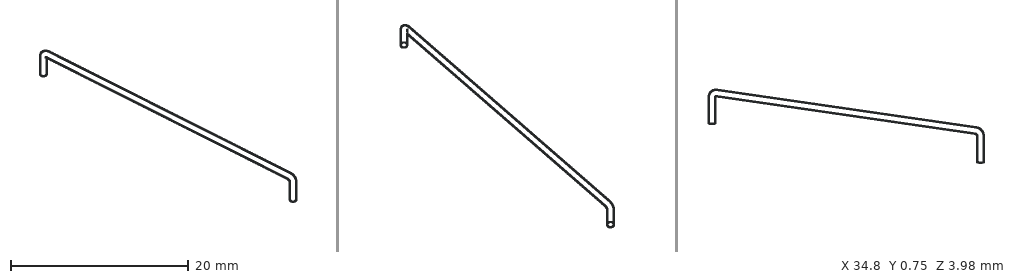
import cadquery as cq

wire_diameter = 0.75
leg_pitch = 34.0
leg_length = 3.0
bend_radius = 0.6

wire_radius = wire_diameter / 2
half_pitch = leg_pitch / 2
span_z = leg_length + bend_radius
bend_end_x = half_pitch - bend_radius


def wire_path():
    """Axis of the wire: leg up, bend, straight span, bend, leg down. Leg tips lie at Z = 0."""
    return (
        cq.Workplane("XZ")
        .moveTo(-half_pitch, 0)
        .lineTo(-half_pitch, leg_length)
        .tangentArcPoint((-bend_end_x, span_z), relative=False)
        .lineTo(bend_end_x, span_z)
        .tangentArcPoint((half_pitch, leg_length), relative=False)
        .lineTo(half_pitch, 0)
    )


def bent_wire():
    """Round wire section swept along the wire axis from the left leg tip."""
    section = cq.Workplane("XY").center(-half_pitch, 0).circle(wire_radius)
    return section.sweep(wire_path())


result = bent_wire()